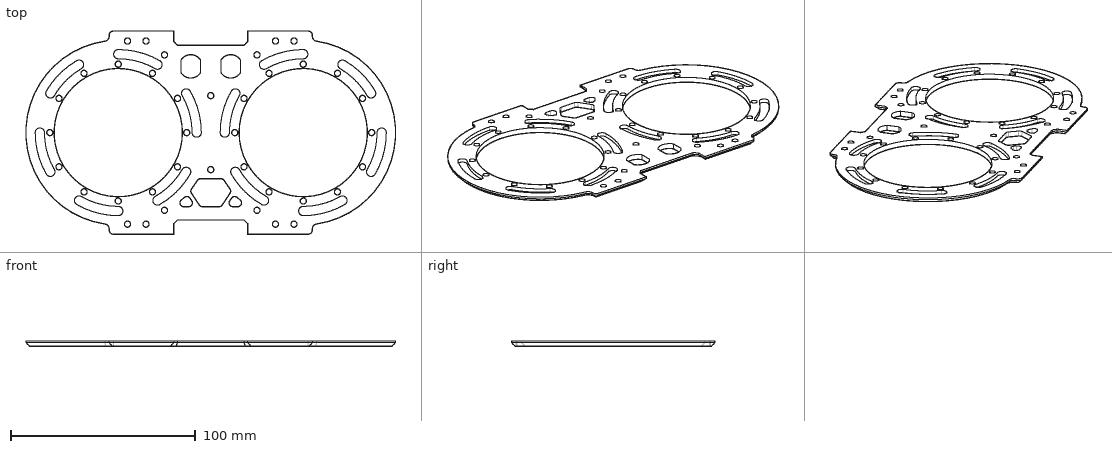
import cadquery as cq
import math

THICKNESS = 3.0
RING_OFFSET = 50.0
RING_RADIUS = 50.0
WAIST_HALF_WIDTH = 47.3
TAB_HALF_WIDTH = 55.0
TAB_INNER_X = 20.0
TAB_OUTER_X = 55.0
TAB_CORNER_RADIUS = 2.5
WAIST_CORNER_BEVEL = 2.0
EDGE_CHAMFER = 2.0

BORE_RADIUS = 34.6
SCREW_DIAMETER = 3.2
SCREW_CIRCLE_RADIUS = 37.0
SCREW_COUNT = 12
GROOVE_COUNT = 6
GROOVE_RADIUS = 42.4
GROOVE_WIDTH = 5.0
GROOVE_SPAN = 30.0
GROOVE_DEPTH = 2.0

TAB_HOLE_Y = 49.5
TAB_HOLE_X = (35.0, 45.0)
WAIST_HOLE = (25.0, 42.0)
CENTRE_HOLE_Y = 20.0

WINDOW_X = 10.8
WINDOW_Y = 35.8
WINDOW_DIAMETER = 12.5
WINDOW_WIDTH = 10.5

HEX_TOP_Y = -25.0
HEX_SIDE_Y = -31.6
HEX_BOTTOM_Y = -40.0
HEX_TOP_HALF_WIDTH = 6.6
HEX_SIDE_HALF_WIDTH = 11.1
HEX_BOTTOM_HALF_WIDTH = 5.6
HEX_CORNER_RADIUS = 2.0

TRIANGLE_CORNER_RADIUS = 2.0
TRIANGLE_BASE_Y = HEX_BOTTOM_Y + TRIANGLE_CORNER_RADIUS
TRIANGLE_CORNERS = [
    (11.95, TRIANGLE_BASE_Y),
    (14.6, TRIANGLE_BASE_Y),
    (12.9, -36.6),
]


def polar(radius, degrees):
    angle = math.radians(degrees)
    return (radius * math.cos(angle), radius * math.sin(angle))


def through_holes(points, diameter):
    return cq.Workplane("XY").pushPoints(points).circle(diameter / 2).extrude(THICKNESS)


def mirrored_pair(shape):
    return shape.union(shape.mirror("YZ"))


def mirrored_corner_edges(body, x, y):
    """The upright edge at (x, y) and its three mirror images."""
    corners = [(corner_x, corner_y, THICKNESS / 2) for corner_x in (-x, x) for corner_y in (-y, y)]
    edges = cq.selectors.NearestToPointSelector(corners[0])
    for corner in corners[1:]:
        edges = edges + cq.selectors.NearestToPointSelector(corner)
    return body.edges("|Z").edges(edges)


def plate():
    """Two ring ends joined by a waist, with four tabs and a bevelled lower edge."""
    tab_root_y = math.sqrt(RING_RADIUS**2 - (TAB_OUTER_X - RING_OFFSET) ** 2)
    end_x = RING_OFFSET + RING_RADIUS
    right_upper = [
        (TAB_INNER_X, WAIST_HALF_WIDTH),
        (TAB_INNER_X, TAB_HALF_WIDTH),
        (TAB_OUTER_X, TAB_HALF_WIDTH),
        (TAB_OUTER_X, tab_root_y),
    ]
    right_lower = [(x, -y) for x, y in reversed(right_upper)]
    left_lower = [(-x, -y) for x, y in right_upper]
    left_upper = [(-x, y) for x, y in reversed(right_upper)]

    outline = cq.Workplane("XY").polyline(right_upper)
    outline = outline.threePointArc((end_x, 0), right_lower[0])
    for point in right_lower[1:] + left_lower:
        outline = outline.lineTo(*point)
    outline = outline.threePointArc((-end_x, 0), left_upper[0])
    for point in left_upper[1:]:
        outline = outline.lineTo(*point)
    body = outline.close().extrude(THICKNESS)

    body = mirrored_corner_edges(body, TAB_INNER_X, WAIST_HALF_WIDTH).chamfer(WAIST_CORNER_BEVEL)
    body = mirrored_corner_edges(body, TAB_OUTER_X, tab_root_y).fillet(TAB_CORNER_RADIUS)
    body = mirrored_corner_edges(body, TAB_OUTER_X, TAB_HALF_WIDTH).fillet(TAB_CORNER_RADIUS)
    return body.faces("<Z").edges().chamfer(EDGE_CHAMFER)


def groove(start_angle):
    """Arc-shaped pocket with round ends, centred on the origin."""
    inner = GROOVE_RADIUS - GROOVE_WIDTH / 2
    outer = GROOVE_RADIUS + GROOVE_WIDTH / 2
    middle_angle = start_angle + GROOVE_SPAN / 2
    end_angle = start_angle + GROOVE_SPAN
    start_x, start_y = polar(GROOVE_RADIUS, start_angle)
    end_x, end_y = polar(GROOVE_RADIUS, end_angle)
    start_dx, start_dy = polar(GROOVE_WIDTH / 2, start_angle - 90)
    end_dx, end_dy = polar(GROOVE_WIDTH / 2, end_angle + 90)
    return (
        cq.Workplane("XY")
        .workplane(offset=THICKNESS - GROOVE_DEPTH)
        .moveTo(*polar(outer, start_angle))
        .threePointArc(polar(outer, middle_angle), polar(outer, end_angle))
        .threePointArc((end_x + end_dx, end_y + end_dy), polar(inner, end_angle))
        .threePointArc(polar(inner, middle_angle), polar(inner, start_angle))
        .threePointArc((start_x + start_dx, start_y + start_dy), polar(outer, start_angle))
        .close()
        .extrude(GROOVE_DEPTH)
    )


def ring_cuts():
    """Bore, screw circle and grooves of both rings; the right ring mirrors the left."""
    screws = [polar(SCREW_CIRCLE_RADIUS, i * 360 / SCREW_COUNT) for i in range(SCREW_COUNT)]
    cuts = through_holes([(0, 0)], 2 * BORE_RADIUS).union(through_holes(screws, SCREW_DIAMETER))
    for i in range(GROOVE_COUNT):
        cuts = cuts.union(groove(i * 360 / GROOVE_COUNT))
    return mirrored_pair(cuts.translate((-RING_OFFSET, 0, 0)))


def mounting_holes():
    points = [(0, CENTRE_HOLE_Y), (0, -CENTRE_HOLE_Y)]
    corner_holes = [(x, TAB_HOLE_Y) for x in TAB_HOLE_X] + [WAIST_HOLE]
    for x, y in corner_holes:
        points += [(x, y), (-x, y), (x, -y), (-x, -y)]
    return through_holes(points, SCREW_DIAMETER)


def windows():
    centre = (WINDOW_X, WINDOW_Y)
    sides = cq.Workplane("XY").center(*centre).rect(WINDOW_WIDTH, WINDOW_DIAMETER).extrude(THICKNESS)
    return mirrored_pair(through_holes([centre], WINDOW_DIAMETER).intersect(sides))


def hex_opening():
    outline = [
        (-HEX_TOP_HALF_WIDTH, HEX_TOP_Y),
        (HEX_TOP_HALF_WIDTH, HEX_TOP_Y),
        (HEX_SIDE_HALF_WIDTH, HEX_SIDE_Y),
        (HEX_BOTTOM_HALF_WIDTH, HEX_BOTTOM_Y),
        (-HEX_BOTTOM_HALF_WIDTH, HEX_BOTTOM_Y),
        (-HEX_SIDE_HALF_WIDTH, HEX_SIDE_Y),
    ]
    prism = cq.Workplane("XY").polyline(outline).close().extrude(THICKNESS)
    return prism.edges("|Z").fillet(HEX_CORNER_RADIUS)


def triangle_openings():
    triangle = cq.Workplane("XY").polyline(TRIANGLE_CORNERS).close()
    return mirrored_pair(triangle.offset2D(TRIANGLE_CORNER_RADIUS).extrude(THICKNESS))


result = plate()
for cut in (ring_cuts(), mounting_holes(), windows(), hex_opening(), triangle_openings()):
    result = result.cut(cut)